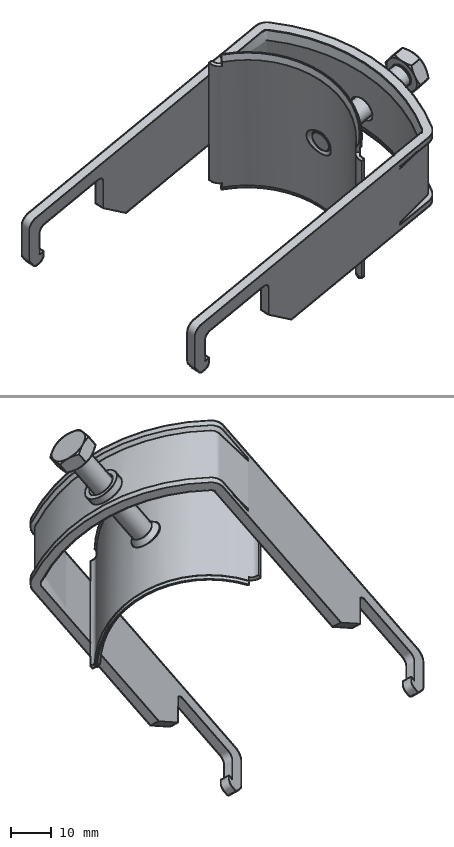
import cadquery as cq
import math


LENGTH = 113.2
STRAP_WIDTH = 57.0
STRAP_THICKNESS = 2.5
STRAP_BOTTOM = -9.7
STRAP_TOP = 15.2
CROWN_Y = 98.0
CROWN_RADIUS = 49.8
CORNER_RADIUS = 3.7
PANEL_DEPTH = 1.0
PANEL_HEIGHT = 19.4
OUTER_BEVEL = 0.8
INNER_BEVEL = 2.5
PANEL_END_Y = 76.4

SLOT_BACK_Y = 27.5
SLOT_FRONT_Y = 4.0
SLOT_TOP = 10.4
SLOT_FILLET = 1.8
LEG_BEVEL = 8.5
NOSE_FILLET = 2.6
HOOK_LIP = 1.5
HOOK_LIP_TOP = 0.9
HOOK_BOTTOM = -2.2
HOOK_BEVEL_Y = 2.2
HOOK_BEVEL_TOP = 1.7
HOOK_TIP_FILLET = 1.6
HOOK_SHOULDER_FILLET = 3.0
HOOK_HEEL_FILLET = 1.1

SHANK_DIAMETER = 6.0
TIP_DIAMETER = 5.4
TIP_Y = 79.0
HEAD_FLATS = 10.0
HEAD_HEIGHT = 4.0
HEAD_CHAMFER_ANGLE = 30.0
NECK_DIAMETER = 6.3
NECK_LENGTH = 0.3

COLLAR_DIAMETER = 9.5
COLLAR_Y = 99.1
COLLAR_Z = -0.5
HOLE_DIAMETER = 7.0

SADDLE_THICKNESS = 1.0
SADDLE_RADIUS = 26.8
SADDLE_INNER_Y = 78.7
SADDLE_HEIGHT = 48.5
SADDLE_END_X = 22.0
CURL_HEIGHT = 1.7
CURL_OFFSET = 0.5
CURL_PEAK = 0.9
CURL_EDGE_OFFSET = 0.8
CURL_EDGE_WIDTH = 0.3
EAR_HEIGHT = 42.1
EAR_X = 25.1
EAR_BEND_RADIUS = 3.1
BOSS_BASE_DIAMETER = 8.4
BOSS_Y = 81.2
DIMPLE_DIAMETER = 8.2
DIMPLE_MOUTH_Y = 78.3


def y_cylinder(diameter, start, end):
    """Solid cylinder on the screw axis."""
    return cq.Workplane("XZ", origin=(0, start, 0)).circle(diameter / 2).extrude(start - end)


def y_cone(start_diameter, start, end_diameter, end):
    """Solid truncated cone on the screw axis."""
    cone = cq.Solid.makeCone(
        start_diameter / 2, end_diameter / 2, end - start, cq.Vector(0, start, 0), cq.Vector(0, 1, 0)
    )
    return cq.Workplane(obj=cone)



CORNER_X = STRAP_WIDTH / 2 - CORNER_RADIUS
CROWN_CENTRE_Y = CROWN_Y - CROWN_RADIUS
CROWN_HALF_ANGLE = math.asin(CORNER_X / (CROWN_RADIUS - CORNER_RADIUS))
CORNER_Y = CROWN_CENTRE_Y + (CROWN_RADIUS - CORNER_RADIUS) * math.cos(CROWN_HALF_ANGLE)


def strap_outline(inset, press, z):
    """Closed U outline, `inset` inside the outer face and pressed inwards by `press` at the crown."""
    leg_x = STRAP_WIDTH / 2 - inset
    side_x = leg_x - press
    corner_radius = CORNER_RADIUS - inset - press
    crown_radius = CROWN_RADIUS - inset - press
    join_x = crown_radius * math.sin(CROWN_HALF_ANGLE)
    join_y = CROWN_CENTRE_Y + crown_radius * math.cos(CROWN_HALF_ANGLE)
    middle_angle = (math.pi / 2 - CROWN_HALF_ANGLE) / 2
    middle_x = CORNER_X + corner_radius * math.cos(middle_angle)
    middle_y = CORNER_Y + corner_radius * math.sin(middle_angle)
    return (
        cq.Workplane("XY", origin=(0, 0, z))
        .moveTo(leg_x, 0)
        .lineTo(leg_x, PANEL_END_Y)
        .lineTo(side_x, CORNER_Y)
        .threePointArc((middle_x, middle_y), (join_x, join_y))
        .threePointArc((0, CROWN_CENTRE_Y + crown_radius), (-join_x, join_y))
        .threePointArc((-middle_x, middle_y), (-side_x, CORNER_Y))
        .lineTo(-leg_x, PANEL_END_Y)
        .lineTo(-leg_x, 0)
        .close()
    )


def strap_block(inset, bevel):
    """Full-height block inside one face of the strap, with the pressed panel at mid height."""
    middle = (STRAP_BOTTOM + STRAP_TOP) / 2
    panel_bottom = middle - PANEL_HEIGHT / 2
    panel_top = middle + PANEL_HEIGHT / 2
    levels = [
        (STRAP_BOTTOM, 0),
        (panel_bottom - bevel, 0),
        (panel_bottom, PANEL_DEPTH),
        (panel_top, PANEL_DEPTH),
        (panel_top + bevel, 0),
        (STRAP_TOP, 0),
    ]
    wires = [strap_outline(inset, press, z).val() for z, press in levels]
    return cq.Workplane(obj=cq.Solid.makeLoft(wires, True))


def leg_profile():
    """Side shape of the legs, extruded across the whole width and running back past the crown."""
    hook_tip_y = SLOT_FRONT_Y + HOOK_LIP
    profile = (
        cq.Workplane("YZ", origin=(-STRAP_WIDTH / 2, 0, 0))
        .moveTo(LENGTH, STRAP_TOP)
        .lineTo(0, STRAP_TOP)
        .lineTo(0, HOOK_BEVEL_TOP)
        .lineTo(HOOK_BEVEL_Y, HOOK_BOTTOM)
        .lineTo(hook_tip_y, HOOK_BOTTOM)
        .lineTo(hook_tip_y, HOOK_LIP_TOP)
        .lineTo(SLOT_FRONT_Y, HOOK_LIP_TOP)
        .lineTo(SLOT_FRONT_Y, SLOT_TOP)
        .lineTo(SLOT_BACK_Y, SLOT_TOP)
        .lineTo(SLOT_BACK_Y, STRAP_BOTTOM + LEG_BEVEL)
        .lineTo(SLOT_BACK_Y + LEG_BEVEL, STRAP_BOTTOM)
        .lineTo(LENGTH, STRAP_BOTTOM)
        .close()
        .extrude(STRAP_WIDTH)
    )
    rounded_corners = [
        (0, STRAP_TOP, NOSE_FILLET),
        (0, HOOK_BEVEL_TOP, HOOK_SHOULDER_FILLET),
        (HOOK_BEVEL_Y, HOOK_BOTTOM, HOOK_HEEL_FILLET),
        (hook_tip_y, HOOK_BOTTOM, HOOK_TIP_FILLET),
        (SLOT_FRONT_Y, SLOT_TOP, SLOT_FILLET),
        (SLOT_BACK_Y, SLOT_TOP, SLOT_FILLET),
    ]
    for y, z, radius in rounded_corners:
        profile = profile.edges(cq.selectors.NearestToPointSelector((0, y, z))).fillet(radius)
    return profile


def make_strap():
    collar_start_y = CROWN_Y - PANEL_DEPTH - STRAP_THICKNESS / 2
    collar = y_cylinder(COLLAR_DIAMETER, collar_start_y, COLLAR_Y).translate((0, 0, COLLAR_Z))
    hole = y_cylinder(HOLE_DIAMETER, collar_start_y - STRAP_THICKNESS, COLLAR_Y).translate((0, 0, COLLAR_Z))
    strap = strap_block(0, OUTER_BEVEL).cut(strap_block(STRAP_THICKNESS, INNER_BEVEL))
    return strap.intersect(leg_profile()).union(collar).cut(hole)



SADDLE_CENTRE_Y = SADDLE_INNER_Y - SADDLE_RADIUS
SADDLE_HALF_ANGLE = math.asin(SADDLE_END_X / SADDLE_RADIUS)
SADDLE_OUTER_Y = SADDLE_INNER_Y + SADDLE_THICKNESS
TIP_CHAMFER = (SHANK_DIAMETER - TIP_DIAMETER) / 2


def saddle_plate():
    """Curved plate whose upper and lower edges curl outwards."""
    inner = SADDLE_RADIUS
    outer = SADDLE_RADIUS + SADDLE_THICKNESS
    edge = SADDLE_HEIGHT / 2
    upper_half = [
        (outer, edge - CURL_HEIGHT),
        (outer + CURL_OFFSET, edge - CURL_PEAK),
        (inner + CURL_EDGE_OFFSET + CURL_EDGE_WIDTH, edge),
        (inner + CURL_EDGE_OFFSET, edge),
        (inner, edge - CURL_HEIGHT),
    ]
    lower_half = [(radius, -z) for radius, z in reversed(upper_half)]
    sweep = 2 * math.degrees(SADDLE_HALF_ANGLE)
    return (
        cq.Workplane("XZ")
        .polyline(upper_half + lower_half)
        .close()
        .revolve(sweep, (0, 0, 0), (0, 1, 0))
        .rotate((0, 0, 0), (0, 0, 1), 90 - sweep / 2)
        .translate((0, SADDLE_CENTRE_Y, 0))
    )


def saddle_ear(side):
    """Ear bent from the end of the curved plate until it lies square to the screw."""
    sine = math.sin(SADDLE_HALF_ANGLE)
    cosine = math.cos(SADDLE_HALF_ANGLE)
    half_sine = math.sin(SADDLE_HALF_ANGLE / 2)
    half_cosine = math.cos(SADDLE_HALF_ANGLE / 2)
    bend_x = (SADDLE_RADIUS + EAR_BEND_RADIUS) * sine
    bend_y = SADDLE_CENTRE_Y + (SADDLE_RADIUS + EAR_BEND_RADIUS) * cosine
    far = EAR_BEND_RADIUS
    near = EAR_BEND_RADIUS - SADDLE_THICKNESS

    def point(radius, across, along):
        return (side * (bend_x - radius * across), bend_y - radius * along)

    return (
        cq.Workplane("XY", origin=(0, 0, -EAR_HEIGHT / 2))
        .moveTo(*point(far, sine, cosine))
        .threePointArc(point(far, half_sine, half_cosine), point(far, 0, 1))
        .lineTo(side * EAR_X, bend_y - far)
        .lineTo(side * EAR_X, bend_y - near)
        .lineTo(*point(near, 0, 1))
        .threePointArc(point(near, half_sine, half_cosine), point(near, sine, cosine))
        .close()
        .extrude(EAR_HEIGHT)
    )


def screw_head():
    """Hexagon with two corners on X, both ends turned down to the width across flats."""
    corner_diameter = HEAD_FLATS / math.cos(math.pi / 6)
    underside_y = LENGTH - HEAD_HEIGHT
    reach = HEAD_HEIGHT / math.tan(math.radians(HEAD_CHAMFER_ANGLE))
    head = (
        cq.Workplane("XZ", origin=(0, underside_y, 0))
        .polygon(6, corner_diameter)
        .extrude(-HEAD_HEIGHT)
    )
    wide_diameter = HEAD_FLATS + 2 * reach
    head = head.intersect(y_cone(HEAD_FLATS, underside_y, wide_diameter, LENGTH))
    return head.intersect(y_cone(wide_diameter, underside_y, HEAD_FLATS, LENGTH))


def screw():
    """Head, neck and shank; the shank starts in the middle of the saddle sheet."""
    underside_y = LENGTH - HEAD_HEIGHT
    shank = y_cylinder(SHANK_DIAMETER, SADDLE_INNER_Y + SADDLE_THICKNESS / 2, underside_y)
    neck = y_cone(SHANK_DIAMETER, underside_y - NECK_LENGTH, NECK_DIAMETER, underside_y)
    return screw_head().union(neck).union(shank)


def dimple():
    """Conical ring around the chamfered screw tip."""
    shank_end_y = TIP_Y + TIP_CHAMFER
    return y_cone(DIMPLE_DIAMETER, DIMPLE_MOUTH_Y, SHANK_DIAMETER, shank_end_y).cut(
        y_cone(TIP_DIAMETER, TIP_Y, SHANK_DIAMETER, shank_end_y)
    )


def make_clamp():
    """Screw and saddle, joined by a conical boss with a dimple on its hollow side."""
    sheet_middle_y = (SADDLE_INNER_Y + SADDLE_OUTER_Y) / 2
    clamp = saddle_plate()
    for side in (-1, 1):
        clamp = clamp.union(saddle_ear(side))
    clamp = clamp.union(y_cylinder(BOSS_BASE_DIAMETER, sheet_middle_y, SADDLE_OUTER_Y))
    clamp = clamp.union(y_cone(BOSS_BASE_DIAMETER, SADDLE_OUTER_Y, SHANK_DIAMETER, BOSS_Y))
    return clamp.union(screw()).cut(dimple())


strap = make_strap()
clamp = make_clamp()

result = cq.Compound.makeCompound([strap.solids().val(), clamp.solids().val()])